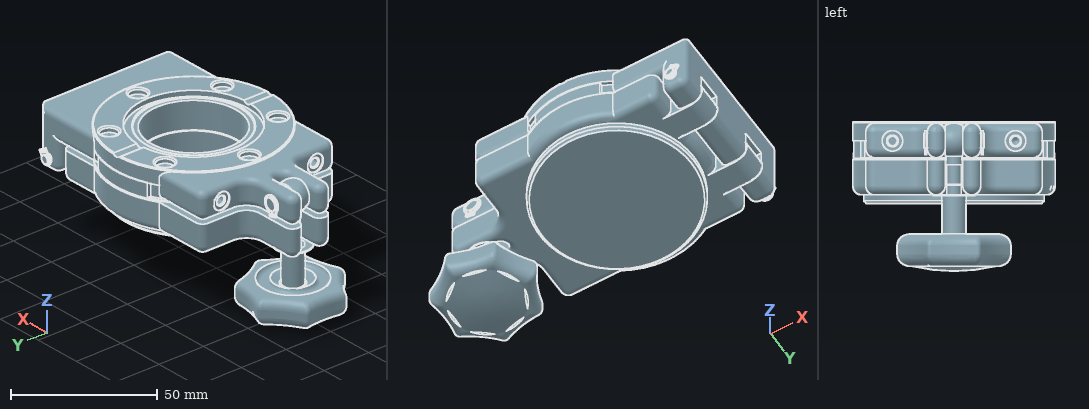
import cadquery as cq
import math


FLANGE_DIA = 69.2
BODY_WIDTH = 60.1
HALF_WIDTH = BODY_WIDTH / 2
BODY_LEFT = -39.5
EAR_TIP = -62.0
EAR_OUTER = 9.1
SLOT_HALF = 3.0
SLOT_CENTER_X = -46.8
NECK_RADIUS = 5.8
EAR_WIDTH = EAR_OUTER - SLOT_HALF
ROUND_SHARE = 0.998
CORNER_RADIUS = ROUND_SHARE * EAR_WIDTH / 2
EDGE_RADIUS = ROUND_SHARE * CORNER_RADIUS

FLANGE_TOP = 13.0
FLANGE_BOTTOM = 0.4
PLATE_TOP = 12.5
PLATE_BOTTOM = 0.7
HOUSING_RIGHT = 46.0
LEG_LEFT = 36.2
LEG_BOTTOM = -11.5
FLANGE_CHAMFER = 0.4
BORE_DIA = 38.0
SEAL_RECESS_DIA = 48.2
SEAL_RECESS_DEPTH = 2.3
KNIFE_DIA = 42.3
KNIFE_DEPTH = 0.8
LEDGE_DIA = 41.6
LEDGE_DEPTH = 1.2
BOLT_COUNT = 6
BOLT_CIRCLE_DIA = 58.6
BOLT_HOLE_DIA = 6.8
BOLT_HOLE_RIM_DIA = 7.9
BOLT_HOLE_DEPTH = 2.3
LEAK_GROOVE_DIA = 4.5
LEAK_GROOVE_WIDTH = 3.5
RIM_BOTTOM = 6.5
RIM_STEP_DIA = 68.7
RELIEF_DIA = 66.1
LAND_HALF_WIDTH = 13.0
PORT_Y = 21.0
PORT_Z = 6.4
PORT_FACE_DIA = 7.0
PORT_FACE_DEPTH = 0.5
PORT_DIA = 3.3
PORT_RIM_DIA = 4.0
PORT_DEPTH = 9.3
PORT_TIPS = {-PORT_Y: 0.9, PORT_Y: 0.0}

DOOR_RIGHT = 33.9
DOOR_BOTTOM = -12.0
BOSS_DIA = 61.8
BOSS_BOTTOM = -15.0
BOSS_CHAMFER = 0.9
DOOR_POCKET_DEPTH = 9.8

HINGE_X = 41.0
HINGE_Z = -6.5
HINGE_PIN_DIA = 3.3
HINGE_PIN_HALF = 32.0
HINGE_CLIP_DIA = 4.5
HINGE_CLIP_Y = 30.9
HINGE_CLIP_ANGLE = 60
KNUCKLE_RADIUS = 5.5
KNUCKLE_INNER_Y = 9.5
KNUCKLE_WIDTH = 9.9
KNUCKLE_FLAT_END = 36.2

SCREW_X = -52.2
EYE_Z = 6.5
CLAMP_PIN_DIA = 5.0
CLAMP_PIN_HALF = 10.3
CLAMP_CLIP_DIA = 6.5
CLAMP_CLIP_Y = 9.3
CLAMP_CLIP_ANGLE = -102
CLIP_THICKNESS = 0.6
LUG_WIDTH = 1.5
LUG_GAP = 0.2
LUG_REACH = 1.4
LUG_HOLE_DIA = 0.7
EYE_DIA = 11.9
NECK_DIA = 5.0
COLLAR_DIA = 5.5
COLLAR_BOTTOM = -1.6
UNDERCUT_DIA = 4.5
UNDERCUT_BOTTOM = -8.6
UNDERCUT_HEIGHT = 0.4
WASHER_DIA = 14.2
WASHER_THICKNESS = 0.4
SHAFT_DIA = 8.3

KNOB_SIDES = 7
KNOB_CORNER_RADIUS = 20.3
KNOB_SIDE_SAG = 1.0
KNOB_CORNER_ROUND = 1.4
KNOB_TOP = -25.3
KNOB_BOTTOM = -38.1
GRIP_BOTTOM = -36.4
DOME_EDGE_RADIUS = 14.0
KNOB_TOP_ROUND = 3.9
KNOB_BOTTOM_ROUND = 4.1
DISH_INNER_RADIUS = 7.8
DISH_OUTER_RADIUS = 12.8
DISH_DEPTH = 2.1
SOCKET_DEPTH = 2.0
SOCKET_FLOOR_RADIUS = 4.7


def cylinder_z(diameter, bottom, top, x=0, y=0):
    return cq.Workplane("XY", origin=(x, y, bottom)).circle(diameter / 2).extrude(top - bottom)


def cylinder_y(diameter, y_start, y_end, x, z):
    """Cylinder along Y from y_start up to y_end."""
    return cq.Workplane("XZ", origin=(x, y_start, z)).circle(diameter / 2).extrude(y_start - y_end)


def box_between(x0, x1, y0, y1, z0, z1):
    return cq.Workplane("XY").box(x1 - x0, y1 - y0, z1 - z0, centered=False).translate((x0, y0, z0))


def eared_plate(right_x, bottom, top):
    """Rectangular plate with two clamp ears on its left, its left upright corners rounded."""
    neck_x = BODY_LEFT - NECK_RADIUS
    neck_y = EAR_OUTER + NECK_RADIUS
    neck_mid = NECK_RADIUS * math.cos(math.pi / 4)
    outline = (
        cq.Workplane("XY", origin=(0, 0, bottom))
        .moveTo(right_x, HALF_WIDTH)
        .lineTo(BODY_LEFT, HALF_WIDTH)
        .lineTo(BODY_LEFT, neck_y)
        .threePointArc((neck_x + neck_mid, neck_y - neck_mid), (neck_x, EAR_OUTER))
        .lineTo(EAR_TIP, EAR_OUTER)
        .lineTo(EAR_TIP, SLOT_HALF)
        .lineTo(SLOT_CENTER_X, SLOT_HALF)
        .threePointArc((SLOT_CENTER_X + SLOT_HALF, 0), (SLOT_CENTER_X, -SLOT_HALF))
        .lineTo(EAR_TIP, -SLOT_HALF)
        .lineTo(EAR_TIP, -EAR_OUTER)
        .lineTo(neck_x, -EAR_OUTER)
        .threePointArc((neck_x + neck_mid, -neck_y + neck_mid), (BODY_LEFT, -neck_y))
        .lineTo(BODY_LEFT, -HALF_WIDTH)
        .lineTo(right_x, -HALF_WIDTH)
        .close()
    )
    plate = outline.extrude(top - bottom)
    plate = plate.edges("|Z and <X").fillet(CORNER_RADIUS)
    body_corners = plate.faces("<Y or >Y").edges("|Z and (not >X)")
    return body_corners.fillet(CORNER_RADIUS)


def housing_blank():
    """Eared plate with the hinge leg turned down at its right end, edges rounded."""
    split_x = 0
    left = eared_plate(split_x, PLATE_BOTTOM, PLATE_TOP)
    left = left.faces("<Z or >Z").edges("not(>X)").fillet(EDGE_RADIUS)
    right = (
        cq.Workplane("XZ", origin=(0, HALF_WIDTH, 0))
        .moveTo(split_x, PLATE_TOP)
        .lineTo(HOUSING_RIGHT, PLATE_TOP)
        .lineTo(HOUSING_RIGHT, LEG_BOTTOM)
        .lineTo(LEG_LEFT, LEG_BOTTOM)
        .lineTo(LEG_LEFT, PLATE_BOTTOM)
        .lineTo(split_x, PLATE_BOTTOM)
        .close()
        .extrude(BODY_WIDTH)
    )
    right = right.faces("<Z").edges("|Y").fillet(EDGE_RADIUS)
    right = right.faces("<Y or >Y").edges("not(<X)").fillet(EDGE_RADIUS)
    return left.union(right)


def flange_disc():
    """Round flange with a stepped rim; two raised lands face -Y and +Y above a low skirt."""
    rim = cylinder_z(FLANGE_DIA, RIM_BOTTOM, FLANGE_TOP).faces(">Z").chamfer(FLANGE_CHAMFER)
    core = cylinder_z(RELIEF_DIA, FLANGE_BOTTOM, RIM_BOTTOM)
    lands = cylinder_z(RIM_STEP_DIA, FLANGE_BOTTOM, RIM_BOTTOM).intersect(box_between(
        -LAND_HALF_WIDTH, LAND_HALF_WIDTH, -FLANGE_DIA, FLANGE_DIA, FLANGE_BOTTOM, RIM_BOTTOM))
    skirt = cylinder_z(RIM_STEP_DIA, FLANGE_BOTTOM, PLATE_BOTTOM)
    return rim.union(core).union(lands).union(skirt)


def rim_relief_cutter():
    """Ring sectors that clear the plate beside the flange lands, as far as the flange overhangs it."""
    overhang = math.sqrt((FLANGE_DIA / 2) ** 2 - HALF_WIDTH ** 2)
    ring = cylinder_z(FLANGE_DIA, FLANGE_BOTTOM, RIM_BOTTOM).cut(
        cylinder_z(RELIEF_DIA, FLANGE_BOTTOM, RIM_BOTTOM))
    return ring.intersect(box_between(
        -overhang, overhang, -FLANGE_DIA, FLANGE_DIA, FLANGE_BOTTOM, RIM_BOTTOM))


def seal_cutter():
    """Through bore together with the recess that leaves the raised knife edge."""
    profile = [
        (0, 0),
        (BORE_DIA / 2, 0),
        (BORE_DIA / 2, FLANGE_TOP - LEDGE_DEPTH),
        (LEDGE_DIA / 2, FLANGE_TOP - LEDGE_DEPTH),
        (KNIFE_DIA / 2, FLANGE_TOP - KNIFE_DEPTH),
        (SEAL_RECESS_DIA / 2, FLANGE_TOP - SEAL_RECESS_DEPTH),
        (SEAL_RECESS_DIA / 2, FLANGE_TOP),
        (0, FLANGE_TOP),
    ]
    return cq.Workplane("XZ").polyline(profile).close().revolve(360, (0, 0, 0), (0, 1, 0))


def bolt_hole_cutter(angle):
    """Blind hole with a chamfered rim on the bolt circle."""
    rim_depth = (BOLT_HOLE_RIM_DIA - BOLT_HOLE_DIA) / 2
    profile = [
        (0, 0),
        (BOLT_HOLE_RIM_DIA / 2, 0),
        (BOLT_HOLE_DIA / 2, -rim_depth),
        (BOLT_HOLE_DIA / 2, -BOLT_HOLE_DEPTH),
        (0, -BOLT_HOLE_DEPTH),
    ]
    hole = cq.Workplane("XZ").polyline(profile).close().revolve(360, (0, 0, 0), (0, 1, 0))
    return hole.translate((BOLT_CIRCLE_DIA / 2, 0, FLANGE_TOP)).rotate((0, 0, 0), (0, 0, 1), angle)


def leak_groove_cutter():
    """Shallow round-bottomed groove across the flange face along Y."""
    radius = LEAK_GROOVE_DIA / 2
    rise = math.sqrt(radius ** 2 - (LEAK_GROOVE_WIDTH / 2) ** 2)
    return cylinder_y(LEAK_GROOVE_DIA, -FLANGE_DIA, FLANGE_DIA, 0, FLANGE_TOP + rise)


def port_cutter(y, tip_height):
    """Blind hole with a chamfered rim and a shallow spot face, entered from -X."""
    rim = (PORT_RIM_DIA - PORT_DIA) / 2
    profile = [
        (0, 0),
        (0, PORT_FACE_DIA / 2),
        (PORT_FACE_DEPTH, PORT_FACE_DIA / 2),
        (PORT_FACE_DEPTH, PORT_RIM_DIA / 2),
        (PORT_FACE_DEPTH + rim, PORT_DIA / 2),
        (PORT_DEPTH, PORT_DIA / 2),
        (PORT_DEPTH + tip_height, 0),
    ]
    drill = cq.Workplane("XY").polyline(profile).close().revolve(360, (0, 0, 0), (1, 0, 0))
    return drill.translate((BODY_LEFT, y, PORT_Z))


def knuckle_starts():
    """Lower Y limit of each hinge knuckle."""
    return [KNUCKLE_INNER_Y, -KNUCKLE_INNER_Y - KNUCKLE_WIDTH]


def make_housing():
    body = housing_blank().cut(rim_relief_cutter()).union(flange_disc())
    body = body.cut(seal_cutter()).cut(leak_groove_cutter())
    for i in range(BOLT_COUNT):
        body = body.cut(bolt_hole_cutter(360 * i / BOLT_COUNT))
    for y, tip_height in PORT_TIPS.items():
        body = body.cut(port_cutter(y, tip_height))
    for y in knuckle_starts():
        body = body.cut(box_between(
            LEG_LEFT, HOUSING_RIGHT, y, y + KNUCKLE_WIDTH, LEG_BOTTOM, PLATE_BOTTOM))
    body = body.cut(cylinder_y(HINGE_PIN_DIA, -HALF_WIDTH, HALF_WIDTH, HINGE_X, HINGE_Z))
    return body.cut(cylinder_y(CLAMP_PIN_DIA, -EAR_OUTER, EAR_OUTER, SCREW_X, EYE_Z))


def knuckle(y):
    """Hinge arm reaching from the door to its rounded end about the hinge pin."""
    root_x = DOOR_RIGHT - EDGE_RADIUS
    return (
        cq.Workplane("XZ", origin=(0, y, 0))
        .moveTo(root_x, 0)
        .lineTo(KNUCKLE_FLAT_END, 0)
        .lineTo(HINGE_X, HINGE_Z + KNUCKLE_RADIUS)
        .threePointArc((HINGE_X + KNUCKLE_RADIUS, HINGE_Z), (HINGE_X, HINGE_Z - KNUCKLE_RADIUS))
        .lineTo(root_x, HINGE_Z - KNUCKLE_RADIUS)
        .close()
        .extrude(-KNUCKLE_WIDTH)
    )


def make_door():
    plate = eared_plate(DOOR_RIGHT, DOOR_BOTTOM, 0)
    plate = plate.edges("|Z and >X").fillet(CORNER_RADIUS)
    body = plate.union(cylinder_z(FLANGE_DIA, DOOR_BOTTOM, 0))
    body = body.faces("<Z").edges().fillet(EDGE_RADIUS)
    boss = cylinder_z(BOSS_DIA, BOSS_BOTTOM, DOOR_BOTTOM).faces("<Z").chamfer(BOSS_CHAMFER)
    body = body.union(boss)
    body = body.cut(cylinder_z(BORE_DIA, -DOOR_POCKET_DEPTH, 0))
    for y in knuckle_starts():
        body = body.union(knuckle(y))
    return body.cut(cylinder_y(HINGE_PIN_DIA, -HALF_WIDTH, HALF_WIDTH, HINGE_X, HINGE_Z))


def knob_blank():
    """Seven-sided grip with hollow sides, rounded edges and a domed underside."""
    half_step = math.pi / KNOB_SIDES
    mid_radius = KNOB_CORNER_RADIUS * math.cos(half_step) - KNOB_SIDE_SAG
    outline = cq.Workplane("XY", origin=(SCREW_X, 0, GRIP_BOTTOM)).moveTo(KNOB_CORNER_RADIUS, 0)
    for i in range(KNOB_SIDES):
        mid = (2 * i + 1) * half_step
        end = (2 * i + 2) * half_step
        outline = outline.threePointArc(
            (mid_radius * math.cos(mid), mid_radius * math.sin(mid)),
            (KNOB_CORNER_RADIUS * math.cos(end), KNOB_CORNER_RADIUS * math.sin(end)))
    grip = outline.close().extrude(KNOB_TOP - GRIP_BOTTOM).edges("|Z").fillet(KNOB_CORNER_ROUND)
    grip = grip.faces(">Z").edges().fillet(KNOB_TOP_ROUND)
    grip = grip.faces("<Z").edges().fillet(KNOB_BOTTOM_ROUND)
    dome_height = GRIP_BOTTOM - KNOB_BOTTOM
    dome_sphere_radius = (DOME_EDGE_RADIUS ** 2 + dome_height ** 2) / (2 * dome_height)
    dome_center = (SCREW_X, 0, KNOB_BOTTOM + dome_sphere_radius)
    dome = cq.Workplane("XY").sphere(dome_sphere_radius).translate(dome_center)
    cap = dome.intersect(cylinder_z(2 * DOME_EDGE_RADIUS, KNOB_BOTTOM, GRIP_BOTTOM, SCREW_X))
    return grip.union(cap)


def dish_cutter():
    """Ring-shaped round-bottomed groove and tapered central socket in the top of the knob."""
    mid = (DISH_INNER_RADIUS + DISH_OUTER_RADIUS) / 2
    groove = (
        cq.Workplane("XZ")
        .moveTo(DISH_INNER_RADIUS, 0)
        .threePointArc((mid, -DISH_DEPTH), (DISH_OUTER_RADIUS, 0))
        .close()
        .revolve(360, (0, 0, 0), (0, 1, 0))
    )
    socket = (
        cq.Workplane("XZ")
        .polyline([(0, 0), (DISH_INNER_RADIUS, 0), (SOCKET_FLOOR_RADIUS, -SOCKET_DEPTH), (0, -SOCKET_DEPTH)])
        .close()
        .revolve(360, (0, 0, 0), (0, 1, 0))
    )
    return groove.union(socket).translate((SCREW_X, 0, KNOB_TOP))


def undercut_ring():
    """Ring that leaves a narrow groove around the neck of the clamp screw."""
    top = UNDERCUT_BOTTOM + UNDERCUT_HEIGHT
    core = cylinder_z(UNDERCUT_DIA, UNDERCUT_BOTTOM, top, SCREW_X)
    return cylinder_z(NECK_DIA, UNDERCUT_BOTTOM, top, SCREW_X).cut(core)


def make_clamp_screw():
    """Eye, neck, washer, shaft and knob in one piece."""
    body = knob_blank().cut(dish_cutter())
    washer_bottom = DOOR_BOTTOM - WASHER_THICKNESS
    body = body.union(cylinder_z(SHAFT_DIA, KNOB_TOP - SOCKET_DEPTH, washer_bottom, SCREW_X))
    body = body.union(cylinder_z(WASHER_DIA, washer_bottom, DOOR_BOTTOM, SCREW_X))
    neck = cylinder_z(NECK_DIA, DOOR_BOTTOM, EYE_Z, SCREW_X).cut(undercut_ring())
    body = body.union(neck)
    body = body.union(cylinder_z(COLLAR_DIA, COLLAR_BOTTOM, EYE_Z, SCREW_X))
    eye_space = box_between(-EYE_DIA, EYE_DIA, -SLOT_HALF, SLOT_HALF, -EYE_DIA, EYE_DIA)
    eye = cq.Workplane("XY").sphere(EYE_DIA / 2).intersect(eye_space).translate((SCREW_X, 0, EYE_Z))
    body = body.union(eye)
    return body.cut(cylinder_y(CLAMP_PIN_DIA, -SLOT_HALF, SLOT_HALF, SCREW_X, EYE_Z))


def clip_ring(ring_dia, lug_angle):
    """Retaining ring about Y at the origin, with two holed lugs side by side at lug_angle above +X."""
    clip = cylinder_y(ring_dia, 0, CLIP_THICKNESS, 0, 0)
    lug_end = ring_dia / 2 + LUG_REACH
    for side in (-1, 1):
        offset = side * (LUG_WIDTH + LUG_GAP) / 2
        lug = box_between(0, lug_end, 0, CLIP_THICKNESS, offset - LUG_WIDTH / 2, offset + LUG_WIDTH / 2)
        hole = cylinder_y(LUG_HOLE_DIA, 0, CLIP_THICKNESS, lug_end - LUG_WIDTH / 2, offset)
        clip = clip.union(lug.cut(hole))
    return clip.rotate((0, 0, 0), (0, 1, 0), -lug_angle)


def make_pin(diameter, half_length, ring_dia, ring_y, lug_angle, x, z):
    """Straight pin along Y with a retaining ring seated near each end."""
    pin = cylinder_y(diameter, -half_length, half_length, 0, 0)
    for y in (ring_y, -ring_y - CLIP_THICKNESS):
        pin = pin.union(clip_ring(ring_dia, lug_angle).translate((0, y, 0)))
    return pin.translate((x, 0, z))


housing = make_housing()
door = make_door()
clamp_screw = make_clamp_screw()
clamp_pin = make_pin(
    CLAMP_PIN_DIA, CLAMP_PIN_HALF, CLAMP_CLIP_DIA, CLAMP_CLIP_Y, CLAMP_CLIP_ANGLE, SCREW_X, EYE_Z)
hinge_pin = make_pin(
    HINGE_PIN_DIA, HINGE_PIN_HALF, HINGE_CLIP_DIA, HINGE_CLIP_Y, HINGE_CLIP_ANGLE, HINGE_X, HINGE_Z)

bodies = [housing, door, clamp_screw, clamp_pin, hinge_pin]
result = cq.Compound.makeCompound([body.solids().val() for body in bodies])